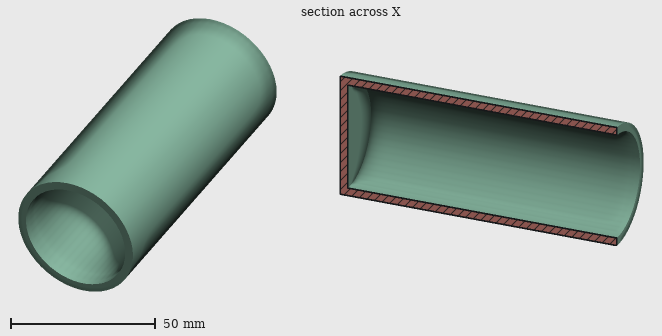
import cadquery as cq

length = 105.0
outer_diameter = 45.0
wall = 3.0
floor_thickness = wall

inner_diameter = outer_diameter - 2 * wall
bore_depth = length - floor_thickness


def cylinder_along_y(diameter, depth):
    """Cylinder from the open end face, running toward +Y."""
    open_end = cq.Workplane("XZ", origin=(0, -length / 2, 0))
    return open_end.circle(diameter / 2).extrude(-depth)


body = cylinder_along_y(outer_diameter, length)
bore = cylinder_along_y(inner_diameter, bore_depth)

result = body.cut(bore)